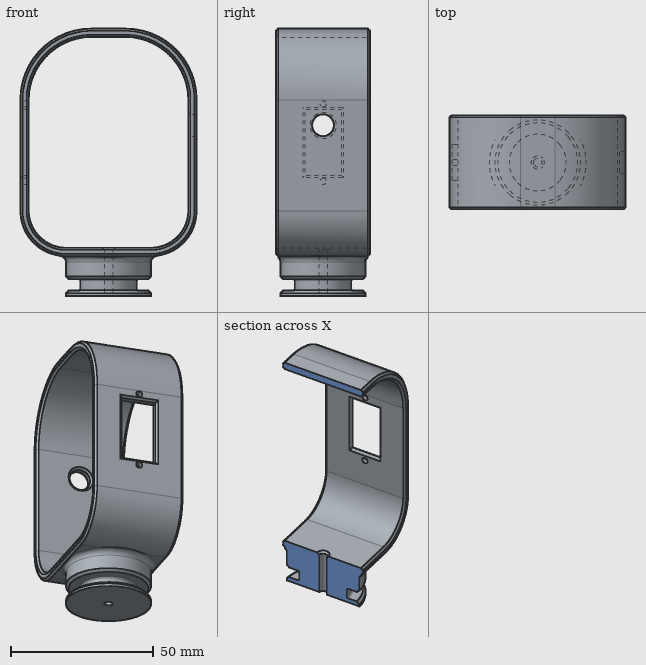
import cadquery as cq

RING_WIDTH = 62.0
RING_HEIGHT = 80.0
RING_DEPTH = 33.1
WALL = 3.0
TOP_RADIUS = 25.0
BOTTOM_RADIUS = 16.0
EDGE_CHAMFER = 0.8

WINDOW_WIDTH = 12.7
WINDOW_HEIGHT = 23.1
WINDOW_Z = RING_HEIGHT / 2
SCREW_DIAMETER = 2.2
SCREW_SPACING = 27.2

SIDE_HOLE_DIAMETER = 7.6
SIDE_HOLE_Z = 46.0

FOOT_HEIGHT = 14.02
FOOT_RADIUS = 30.0 / 2
NECK_RADIUS = 20.0 / 2
FLANGE_THICKNESS = 2.0
NECK_HEIGHT = 3.9
FOOT_CHAMFER = 1.0
FOOT_FILLET = 2.0
NECK_FILLET = 0.4
FOOT_HOLE_DIAMETER = 3.0

HALF_WIDTH = RING_WIDTH / 2
HALF_DEPTH = RING_DEPTH / 2


def rounded_frame(inset):
    """Solid across the ring depth whose outline lies `inset` inside the outer outline of the ring."""
    width = RING_WIDTH - 2 * inset
    middle = RING_HEIGHT / 2
    height = RING_HEIGHT - 2 * inset
    block = cq.Workplane("XY").box(width, RING_DEPTH, height).translate((0, 0, middle))
    block = block.edges("|Y and >Z").fillet(TOP_RADIUS - inset)
    return block.edges("|Y and <Z").fillet(BOTTOM_RADIUS - inset)


def make_ring():
    ring = rounded_frame(0).cut(rounded_frame(WALL))
    return ring.faces("<Y or >Y").chamfer(EDGE_CHAMFER)


def make_foot():
    """Flange, neck and drum turned about Z; the drum runs up to the underside of the ring."""
    bottom = -FOOT_HEIGHT
    flange_top = bottom + FLANGE_THICKNESS
    drum_bottom = flange_top + NECK_HEIGHT
    rim_radius = FOOT_RADIUS - FOOT_CHAMFER
    return (
        cq.Workplane("XZ")
        .moveTo(0, bottom)
        .lineTo(FOOT_RADIUS, bottom)
        .lineTo(FOOT_RADIUS, flange_top - FOOT_CHAMFER)
        .lineTo(rim_radius, flange_top)
        .lineTo(NECK_RADIUS + NECK_FILLET, flange_top)
        .radiusArc((NECK_RADIUS, flange_top + NECK_FILLET), NECK_FILLET)
        .lineTo(NECK_RADIUS, drum_bottom - NECK_FILLET)
        .radiusArc((NECK_RADIUS + NECK_FILLET, drum_bottom), NECK_FILLET)
        .lineTo(rim_radius, drum_bottom)
        .lineTo(FOOT_RADIUS, drum_bottom + FOOT_CHAMFER)
        .lineTo(FOOT_RADIUS, 0)
        .lineTo(0, 0)
        .close()
        .revolve(360, (0, 0), (0, 1))
    )


def make_flare():
    """Concave fillet from the drum out to the ring, trimmed to the flat bottom between the ring's chamfers."""
    top_radius = FOOT_RADIUS + FOOT_FILLET
    flare = (
        cq.Workplane("XZ")
        .moveTo(0, -FOOT_FILLET)
        .lineTo(FOOT_RADIUS, -FOOT_FILLET)
        .radiusArc((top_radius, 0), FOOT_FILLET)
        .lineTo(top_radius, WALL / 2)
        .lineTo(0, WALL / 2)
        .close()
        .revolve(360, (0, 0), (0, 1))
    )
    trim_depth = 2 * (HALF_DEPTH - EDGE_CHAMFER)
    return flare.intersect(cq.Workplane("XY").box(RING_WIDTH, trim_depth, 2 * FOOT_HEIGHT))


def countersunk_hole(diameter, depth):
    """Cutter pointing down from Z = 0, widened at its mouth by the edge chamfer."""
    radius = diameter / 2
    return (
        cq.Workplane("XZ")
        .moveTo(0, 0)
        .lineTo(radius + EDGE_CHAMFER, 0)
        .lineTo(radius, -EDGE_CHAMFER)
        .lineTo(radius, -depth)
        .lineTo(0, -depth)
        .close()
        .revolve(360, (0, 0), (0, 1))
    )


def window_cutter():
    """Rectangular opening through the -X wall with a chamfered mouth on the outside."""
    opening = cq.Workplane("XY").box(WALL, WINDOW_WIDTH, WINDOW_HEIGHT)
    mouth = (
        cq.Workplane("YZ")
        .rect(WINDOW_WIDTH + 2 * EDGE_CHAMFER, WINDOW_HEIGHT + 2 * EDGE_CHAMFER)
        .workplane(offset=EDGE_CHAMFER)
        .rect(WINDOW_WIDTH, WINDOW_HEIGHT)
        .loft()
    )
    return opening.translate((WALL / 2, 0, 0)).union(mouth).translate((-HALF_WIDTH, 0, WINDOW_Z))


def screw_cutters():
    return (
        cq.Workplane("YZ", origin=(-HALF_WIDTH, 0, WINDOW_Z))
        .pushPoints([(0, -SCREW_SPACING / 2), (0, SCREW_SPACING / 2)])
        .circle(SCREW_DIAMETER / 2)
        .extrude(WALL)
    )


side_hole = countersunk_hole(SIDE_HOLE_DIAMETER, WALL).rotate((0, 0, 0), (0, 1, 0), -90)
side_hole = side_hole.translate((HALF_WIDTH - WALL, 0, SIDE_HOLE_Z))
foot_hole = countersunk_hole(FOOT_HOLE_DIAMETER, WALL + FOOT_HEIGHT).translate((0, 0, WALL))

body = make_ring().union(make_foot()).union(make_flare())
body = body.cut(window_cutter()).cut(screw_cutters())
result = body.cut(side_hole).cut(foot_hole)